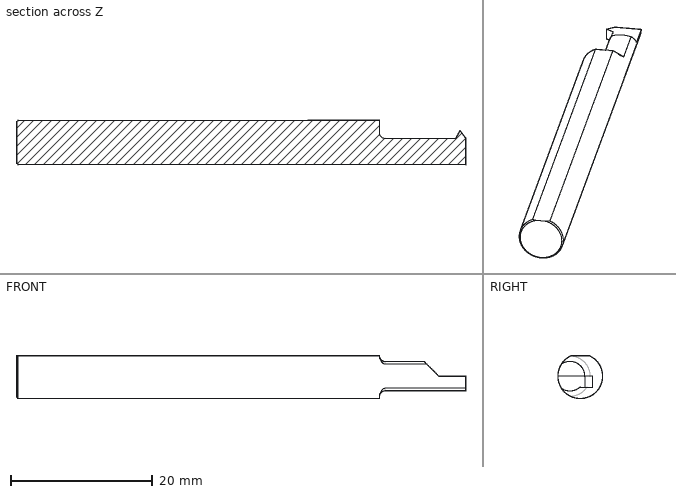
import cadquery as cq

total_length = 63.5
shank_radius = 3.2
flat_height = 2.9
shank_length = 51.3
end_chamfer = 0.2

neck_radius = 2.1
neck_center_y = -1.45
shoulder_radius = 0.75
neck_side_y = neck_center_y + neck_radius

rake_face_z = 0.0
ramp_end_x = 59.7

tooth_start_x = 62.1
tooth_tip_x = 62.7
tooth_tip_y = 1.7
tooth_depth = 1.6


def make_bar():
    bar = cq.Workplane("YZ").circle(shank_radius).extrude(total_length)
    return bar.faces("<X").chamfer(end_chamfer)


def make_neck_relief():
    """Ring around the neck, with the concave shoulder left at its shank end."""
    shoulder_end_x = shank_length + shoulder_radius
    shoulder_outer = neck_radius + shoulder_radius
    arc_offset = shoulder_radius * (1 - 0.5 ** 0.5)
    ring_radius = 2 * shank_radius
    ring_end_x = total_length + shank_radius
    return (
        cq.Workplane("XY")
        .moveTo(shank_length, -ring_radius)
        .lineTo(shank_length, -shoulder_outer)
        .threePointArc(
            (shank_length + arc_offset, -neck_radius - arc_offset),
            (shoulder_end_x, -neck_radius),
        )
        .lineTo(ring_end_x, -neck_radius)
        .lineTo(ring_end_x, -ring_radius)
        .close()
        .revolve(360, (0, 0, 0), (1, 0, 0))
        .translate((0, neck_center_y, 0))
    )


def make_ramp_cut():
    """Everything above the rake face and the 45 degree ramp."""
    rise = shank_radius - rake_face_z
    return (
        cq.Workplane("XZ")
        .moveTo(ramp_end_x, rake_face_z)
        .lineTo(total_length, rake_face_z)
        .lineTo(total_length, shank_radius)
        .lineTo(ramp_end_x - rise, shank_radius)
        .close()
        .extrude(shank_radius, both=True)
    )


def make_tooth():
    """Triangular tooth rooted inside the neck so that it joins fully."""
    return (
        cq.Workplane("XY", origin=(0, 0, rake_face_z))
        .moveTo(tooth_start_x, neck_center_y)
        .lineTo(tooth_start_x, neck_side_y)
        .lineTo(tooth_tip_x, tooth_tip_y)
        .lineTo(total_length, neck_side_y)
        .lineTo(total_length, neck_center_y)
        .close()
        .extrude(-tooth_depth)
    )


def make_flat_cut():
    """Block that grinds the flat along the top of the shank."""
    return (
        cq.Workplane("XY", origin=(0, 0, flat_height))
        .rect(2 * total_length, 2 * shank_radius)
        .extrude(shank_radius)
    )


tool = make_bar().cut(make_neck_relief())
result = tool.cut(make_ramp_cut()).union(make_tooth()).cut(make_flat_cut())